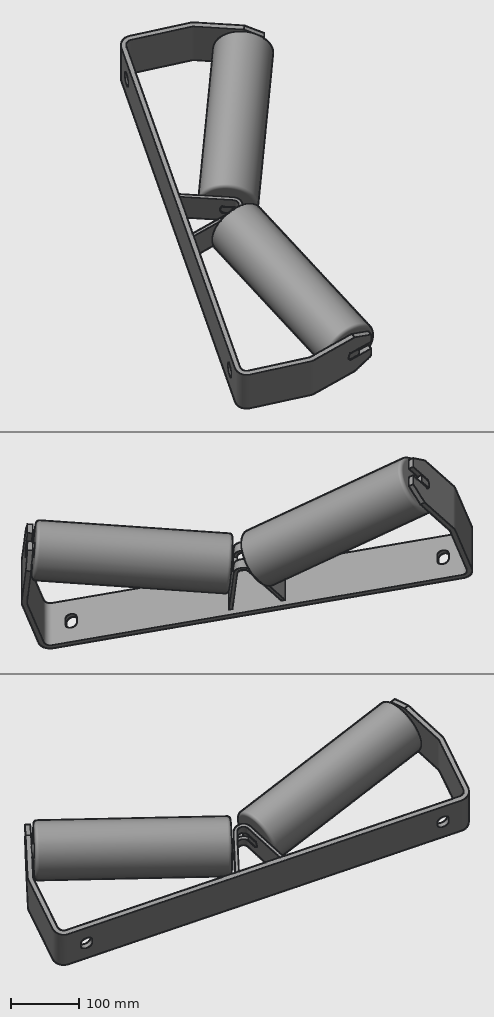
import cadquery as cq
import math

frame_length = 660.0
strip_width = 80.0
strip_thickness = 8.0
bend_radius = 10.0
arm_lean = 20.0
arm_bend_start = 110.0
arm_tip_y = 213.0
tip_chamfer_along = 30.0
tip_chamfer_across = 15.0
mount_slot_width = 18.0
mount_slot_height = 26.0
mount_slot_spacing = 566.0

bracket_width = 49.0
bracket_thickness = 5.0
bracket_top_y = 98.0
bracket_bend_radius = 9.0
bracket_center_z = -6.0

roller_diameter = 89.0
roller_length = 290.0
roller_edge_fillet = 5.0
roller_dip = 1.2
roller_center_x = 156.5
roller_center_y = 131.5
roller_center_z = -2.5

spindle_diameter = 21.0
spindle_flat_width = 13.0
spindle_top_flat = 8.0
spindle_slot_width = 16.0
slot_floor_radius = 10.5
spindle_gap = 0.5

SIDES = (-1, 1)
half_length = frame_length / 2
outer_bend_radius = bend_radius + strip_thickness
lean_sin = math.sin(math.radians(arm_lean))
lean_cos = math.cos(math.radians(arm_lean))

bend_end_x = half_length - outer_bend_radius * (1 - lean_cos)
bend_end_y = arm_bend_start + outer_bend_radius * lean_sin
arm_tip_x = bend_end_x - (arm_tip_y - bend_end_y) * lean_sin / lean_cos

crown_radius = bracket_bend_radius + bracket_thickness
crown_y = bracket_top_y - crown_radius
crown_end_y = crown_y + bracket_bend_radius * lean_sin

roller_reach = roller_center_x * lean_cos + roller_center_y * lean_sin
arm_outer_reach = arm_tip_x * lean_cos + arm_tip_y * lean_sin - roller_reach
arm_inner_reach = arm_outer_reach - strip_thickness
leg_inner_reach = roller_reach - crown_y * lean_sin - bracket_bend_radius
leg_outer_reach = leg_inner_reach - bracket_thickness


def lean_plane(side, x, y, z=0):
    """Plane square to a roller: local x runs up the arm, the normal points outward."""
    return cq.Plane(origin=(side * x, y, z), xDir=(-side * lean_sin, lean_cos, 0),
                    normal=(side * lean_cos, lean_sin, 0))


def spindle_channel(side, z, start, end):
    """Open slot for a spindle end, with a rounded floor under the axis."""
    floor = -(spindle_diameter / 2 + spindle_gap)
    half_width = spindle_slot_width / 2
    shoulder = floor + slot_floor_radius - math.sqrt(slot_floor_radius**2 - half_width**2)
    open_end = roller_diameter
    return (
        cq.Workplane(lean_plane(side, roller_center_x, roller_center_y, z))
        .workplane(offset=start)
        .moveTo(open_end, half_width)
        .lineTo(shoulder, half_width)
        .threePointArc((floor, 0), (shoulder, -half_width))
        .lineTo(open_end, -half_width)
        .close()
        .extrude(end - start)
    )


def make_frame():
    inset_x = strip_thickness * lean_cos
    inset_y = strip_thickness * lean_sin
    half = (
        cq.Workplane("XY")
        .lineTo(half_length - outer_bend_radius, 0)
        .radiusArc((half_length, outer_bend_radius), -outer_bend_radius)
        .lineTo(half_length, arm_bend_start)
        .radiusArc((bend_end_x, bend_end_y), -outer_bend_radius)
        .lineTo(arm_tip_x, arm_tip_y)
        .lineTo(arm_tip_x - inset_x, arm_tip_y - inset_y)
        .lineTo(bend_end_x - inset_x, bend_end_y - inset_y)
        .radiusArc((half_length - strip_thickness, arm_bend_start), bend_radius)
        .lineTo(half_length - strip_thickness, outer_bend_radius)
        .radiusArc((half_length - outer_bend_radius, strip_thickness), bend_radius)
        .lineTo(0, strip_thickness)
        .close()
        .extrude(strip_width / 2, both=True)
    )
    frame = half.union(half.mirror("YZ")).clean()
    for side in SIDES:
        frame = frame.cut(tip_chamfers(side))
        frame = frame.cut(spindle_channel(side, 0, arm_inner_reach, arm_outer_reach))
    return frame.cut(mount_slots())


def tip_chamfers(side):
    """Two wedges that take the corners off an arm tip."""
    edge = strip_width / 2
    wedges = cq.Workplane(lean_plane(side, arm_tip_x, arm_tip_y))
    for z_side in SIDES:
        wedges = wedges.polyline([
            (0, z_side * edge),
            (-tip_chamfer_along, z_side * edge),
            (0, z_side * (edge - tip_chamfer_across)),
        ]).close()
    return wedges.extrude(-strip_thickness)


def mount_slots():
    return (
        cq.Workplane("XZ")
        .pushPoints([(side * mount_slot_spacing / 2, 0) for side in SIDES])
        .slot2D(mount_slot_height, mount_slot_width, 90)
        .extrude(-strip_thickness)
    )


def crown_end(radius, side):
    """Point where the crown arc of this radius runs into a leg."""
    return (side * radius * lean_cos, crown_y + radius * lean_sin)


def foot(radius, side):
    """Point where that leg line meets the frame."""
    x, y = crown_end(radius, 1)
    return (side * (x + (y - strip_thickness) * lean_sin / lean_cos), strip_thickness)


def make_bracket():
    inner = bracket_bend_radius
    bracket = (
        cq.Workplane("XY")
        .workplane(offset=bracket_center_z)
        .moveTo(*foot(crown_radius, -1))
        .lineTo(*crown_end(crown_radius, -1))
        .threePointArc((0, bracket_top_y), crown_end(crown_radius, 1))
        .lineTo(*foot(crown_radius, 1))
        .lineTo(*foot(inner, 1))
        .lineTo(*crown_end(inner, 1))
        .threePointArc((0, crown_y + inner), crown_end(inner, -1))
        .lineTo(*foot(inner, -1))
        .close()
        .extrude(bracket_width / 2, both=True)
    )
    crown_slot = (
        cq.Workplane("XY")
        .box(2 * crown_radius, bracket_top_y - crown_end_y, spindle_slot_width)
        .translate((0, (bracket_top_y + crown_end_y) / 2, bracket_center_z))
    )
    bracket = bracket.cut(crown_slot)
    for side in SIDES:
        bracket = bracket.cut(
            spindle_channel(side, bracket_center_z, -leg_inner_reach, -leg_outer_reach))
    return bracket


def make_roller(side):
    """Roller and spindle built along X, then dipped, leaned and moved into place."""
    body = (
        cq.Workplane("YZ")
        .workplane(offset=-roller_length / 2)
        .circle(roller_diameter / 2)
        .extrude(roller_length)
        .edges("%CIRCLE")
        .fillet(roller_edge_fillet)
    )
    shaft = round_bar(leg_outer_reach - spindle_gap, arm_inner_reach - spindle_gap)
    ends = round_bar(leg_inner_reach, arm_outer_reach)
    radius = spindle_diameter / 2
    flats = (
        cq.Workplane("XY")
        .box(2 * roller_length, radius + spindle_top_flat, spindle_flat_width)
        .translate((0, (spindle_top_flat - radius) / 2, 0))
    )
    roller = body.union(shaft).union(ends.intersect(flats))
    if side < 0:
        roller = roller.mirror("YZ")
    return (
        roller
        .rotate((0, 0, 0), (0, 1, 0), -side * roller_dip)
        .rotate((0, 0, 0), (0, 0, 1), side * arm_lean)
        .translate((side * roller_center_x, roller_center_y, roller_center_z))
    )


def round_bar(inner_reach, outer_reach):
    """Bar of the spindle diameter, reaching both ways along X from the roller middle."""
    return (
        cq.Workplane("YZ")
        .workplane(offset=-inner_reach)
        .circle(spindle_diameter / 2)
        .extrude(inner_reach + outer_reach)
    )


frame = make_frame()
bracket = make_bracket()
rollers = [make_roller(side) for side in SIDES]

result = cq.Compound.makeCompound([frame.val(), bracket.val(), *[roller.val() for roller in rollers]])